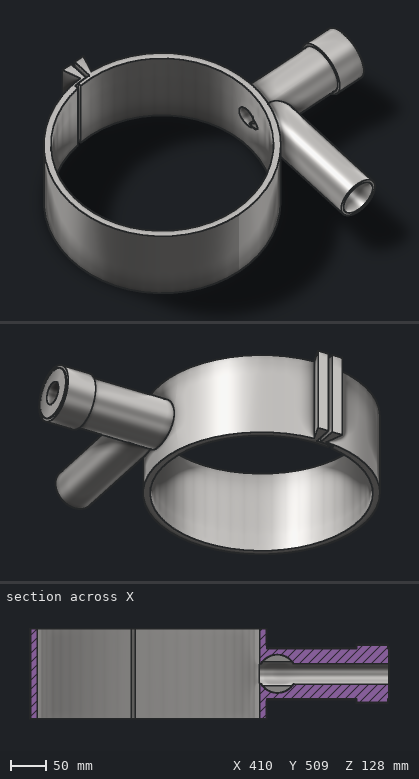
import cadquery as cq
import math

ring_radius = 168.0
ring_bore_radius = 158.0
ring_height = 128.0
mid_height = ring_height / 2

split_gap = 6.0
lug_end_x = -196.0
lug_root_y = 10.0
lug_end_y = 20.0
lug_embed = 2.5
tongue_radius = 163.5
tongue_clearance = 0.3
tongue_end_y = -18.5
recess_end_y = -24.5

pipe_radius = 37.0
main_bore_radius = 17.0
pipe_end_y = 341.0
collar_radius = 42.0
collar_start_y = 295.0
collar_end_y = 339.5

branch_radius = 31.5
branch_bore_radius = 27.0
branch_y = 183.0
branch_end_x = 214.0


def disc(radius):
    return cq.Workplane("XY").circle(radius).extrude(ring_height)


def box_between(x_start, x_end, y_start, y_end):
    """Full-height block between two X and two Y positions."""
    block = cq.Workplane("XY").box(x_end - x_start, y_end - y_start, ring_height, centered=False)
    return block.translate((x_start, y_start, 0))


def cylinder_along_y(radius, y_start, y_end):
    start = cq.Vector(0, y_start, mid_height)
    return cq.Workplane(cq.Solid.makeCylinder(radius, y_end - y_start, start, cq.Vector(0, 1, 0)))


def cylinder_along_x(radius):
    start = cq.Vector(0, branch_y, mid_height)
    return cq.Workplane(cq.Solid.makeCylinder(radius, branch_end_x, start, cq.Vector(1, 0, 0)))


def make_lug(side):
    """Flared lug beside the split; side is +1 or -1 along Y."""
    root_x = -math.sqrt(ring_radius**2 - lug_root_y**2)
    inner_x = root_x + lug_embed
    points = [
        (lug_end_x, side * split_gap / 2),
        (lug_end_x, side * lug_end_y),
        (root_x, side * lug_root_y),
        (inner_x, side * lug_root_y),
        (inner_x, side * split_gap / 2),
    ]
    return cq.Workplane("XY").polyline(points).close().extrude(ring_height)


def make_clamp_ring():
    ring = disc(ring_radius).cut(disc(ring_bore_radius))
    for side in (1, -1):
        ring = ring.union(make_lug(side))

    split = box_between(lug_end_x, 0, -split_gap / 2, split_gap / 2).cut(disc(tongue_radius))
    recess_radius = tongue_radius + tongue_clearance
    recess = disc(recess_radius).intersect(box_between(-ring_radius, 0, recess_end_y, -split_gap / 2))
    tongue = disc(tongue_radius).cut(disc(ring_bore_radius))
    tongue = tongue.intersect(box_between(-ring_radius, 0, tongue_end_y, 0))
    return ring.cut(split).cut(recess).union(tongue)


def make_pipes():
    """Solid main pipe with collar and branch, trimmed to the outside of the ring."""
    pipes = cylinder_along_y(pipe_radius, 0, pipe_end_y)
    pipes = pipes.union(cylinder_along_y(collar_radius, collar_start_y, collar_end_y))
    pipes = pipes.union(cylinder_along_x(branch_radius))
    return pipes.cut(disc(ring_radius))


def make_bores():
    """Main bore through pipe and ring wall, and the branch bore that crosses it."""
    main_bore = cylinder_along_y(main_bore_radius, 0, pipe_end_y)
    return main_bore.union(cylinder_along_x(branch_bore_radius))


result = make_clamp_ring().union(make_pipes()).cut(make_bores())